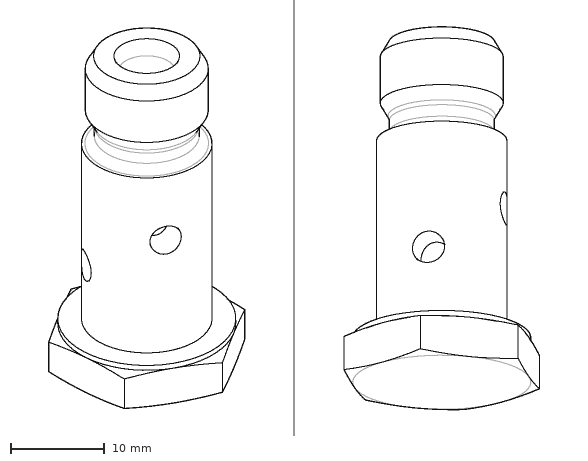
import cadquery as cq
import math

total_length = 38.0
across_flats = 19.0
across_corners = across_flats / math.cos(math.radians(30))
head_height = 5.0
washer_face_height = 0.6
corner_bevel_angle = 13.0

body_diameter = 13.95
body_top = 27.0
neck_diameter = 11.2
collar_diameter = 13.15
collar_bottom = 31.25
collar_bevel_height = 1.55
collar_bevel_angle = 30.0
neck_fillet = 1.0

bore_diameter = 6.0
bore_mouth_diameter = 7.0
bore_mouth_angle = 15.0
bore_full_depth = 27.75
drill_point_angle = 118.0
cross_hole_diameter = 3.5
hole_along_y_height = 13.0
hole_along_x_height = 19.0


def make_head():
    """Hexagon with bevelled corners and a round washer face on top."""
    flat_radius = across_flats / 2
    corner_radius = across_corners / 2
    bevel_drop = (corner_radius - flat_radius) * math.tan(math.radians(corner_bevel_angle))
    bevel_top = head_height - washer_face_height
    hexagon = (
        cq.Workplane("XY")
        .polygon(6, across_corners)
        .extrude(head_height)
        .rotate((0, 0, 0), (0, 0, 1), 30)
    )
    envelope = (
        cq.Workplane("XZ")
        .moveTo(0, 0)
        .lineTo(flat_radius, 0)
        .lineTo(corner_radius, bevel_drop)
        .lineTo(corner_radius, bevel_top - bevel_drop)
        .lineTo(flat_radius, bevel_top)
        .lineTo(flat_radius, head_height)
        .lineTo(0, head_height)
        .close()
        .revolve(360, (0, 0, 0), (0, 1, 0))
    )
    return hexagon.intersect(envelope)


def make_shank():
    """Round body, filleted neck and bevelled collar, revolved about Z."""
    body_radius = body_diameter / 2
    neck_radius = neck_diameter / 2
    collar_radius = collar_diameter / 2
    bevel = math.radians(collar_bevel_angle)
    tip_radius = collar_radius - collar_bevel_height * math.tan(bevel)

    upper_end_radius = neck_radius + neck_fillet * (1 - math.cos(bevel))
    upper_end_height = collar_bottom - (collar_radius - upper_end_radius) / math.tan(bevel)
    upper_start_height = upper_end_height - neck_fillet * math.sin(bevel)

    return (
        cq.Workplane("XZ")
        .moveTo(0, head_height)
        .lineTo(body_radius, head_height)
        .lineTo(body_radius, body_top)
        .lineTo(neck_radius + neck_fillet, body_top)
        .radiusArc((neck_radius, body_top + neck_fillet), neck_fillet)
        .lineTo(neck_radius, upper_start_height)
        .radiusArc((upper_end_radius, upper_end_height), neck_fillet)
        .lineTo(collar_radius, collar_bottom)
        .lineTo(collar_radius, total_length - collar_bevel_height)
        .lineTo(tip_radius, total_length)
        .lineTo(0, total_length)
        .close()
        .revolve(360, (0, 0, 0), (0, 1, 0))
    )


def make_bore():
    """Blind drilled bore with a conical bottom and a countersunk mouth."""
    bore_radius = bore_diameter / 2
    mouth_radius = bore_mouth_diameter / 2
    mouth_depth = (mouth_radius - bore_radius) / math.tan(math.radians(bore_mouth_angle))
    bore_floor = total_length - bore_full_depth
    point_height = bore_radius / math.tan(math.radians(drill_point_angle / 2))
    return (
        cq.Workplane("XZ")
        .moveTo(0, bore_floor - point_height)
        .lineTo(bore_radius, bore_floor)
        .lineTo(bore_radius, total_length - mouth_depth)
        .lineTo(mouth_radius, total_length)
        .lineTo(0, total_length)
        .close()
        .revolve(360, (0, 0, 0), (0, 1, 0))
    )


def make_cross_hole(plane, height):
    """Cylinder passing right through the body at the given height."""
    return (
        cq.Workplane(plane)
        .center(0, height)
        .circle(cross_hole_diameter / 2)
        .extrude(body_diameter, both=True)
    )


result = (
    make_head()
    .union(make_shank())
    .cut(make_bore())
    .cut(make_cross_hole("XZ", hole_along_y_height))
    .cut(make_cross_hole("YZ", hole_along_x_height))
)